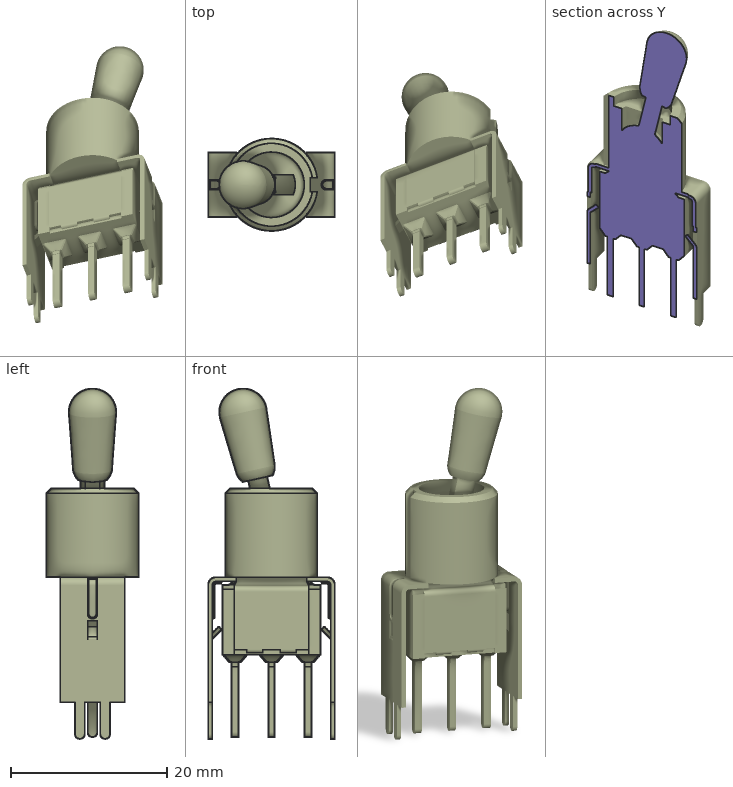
import cadquery as cq
import math

JOIN = 0.2

BUSHING_RADIUS = 5.93
BUSHING_HEIGHT = 11.34
BUSHING_CHAMFER = 0.62
BORE_RADIUS = 8.4 / 2
BORE_DEPTH = 1.4
KEYWAY_WIDTH = 1.8
KEYWAY_FLOOR_X = 4.93
SLOT_WIDTH = 2.6
SLOT_END_RADIUS = 3.05
COLLAR_TOP_RADIUS = 4.95
COLLAR_BOTTOM_RADIUS = 5.5

LEVER_TILT = 12.5
HEAD_RADIUS = 3.06
HEAD_CENTRE_Z = 21.08
HEAD_TO_TAPER_END = 7.5
HEAD_TO_LEVER_END = 8.7
TAPER_END_RADIUS = 2.52
LEVER_END_RADIUS = 1.96
LEVER_END_BULGE = 0.1
HEAD_OFFSET_X = 3.65
STEM_RADIUS = 1.56
STEM_FLAT_HALF = 1.25
PIVOT_BALL_RADIUS = 3.6

BRACKET_LENGTH = 16.26
BRACKET_WIDTH = 8.3
SHEET = 0.56
BEND_RADIUS = 1.05
LEG_BOTTOM_Z = -16.05
LEG_PIN_TIP_Z = -20.74
LEG_PIN_PITCH = 3.24
PIN_WIDTH = 1.27
NOTCH_HALF_LENGTH = 4.51

BEAD_DEPTH = 0.28
BEAD_WIDTH = 1.28
BEAD_CHAMFER = 0.14
BEAD_TOP_END_X = 6.38
BEAD_BOTTOM_END_Z = -5.33

WINDOW_TOP_Z = -5.63
WINDOW_BOTTOM_Z = -7.95
WINDOW_WIDTH = 1.28
TAB_TIP_X = 6.36
TAB_ANGLE = 45.0
TAB_BEND_SETBACK = 0.1

BODY_LENGTH = 12.6
BODY_WIDTH = 6.64
BODY_TOP_Z = -1.02
BODY_BOTTOM_Z = -9.97
SHOULDER_Z = -1.56
SHOULDER_DEPTH = 0.3
RECESS_DEPTH = 0.3

PANEL_HALF_LENGTH = 4.78
PANEL_FACE_Y = 3.4
PANEL_BEND_TOP_Z = -1.1
PANEL_BEND_BOTTOM_Z = -1.86
PANEL_BOTTOM_Z = -9.3
CRIMP_OFFSET_X = 2.15
CRIMP_WIDTH = 2.1

TERMINAL_PITCH = 4.67
TERMINAL_TIP_Z = -20.5
OUTER_TERMINAL_THICKNESS = 0.92
MIDDLE_TERMINAL_THICKNESS = 0.8
TERMINAL_SHOULDER_Z = -11.47
TERMINAL_SHOULDER_WIDTH = 1.4
SEAL_BASE = 3.1
SEAL_TIP = 1.5
SEAL_BOTTOM_Z = -10.9
SEAL_EDGE_CHAMFER = 0.12

leg_x = BRACKET_LENGTH / 2
floor_z = BUSHING_HEIGHT - BORE_DEPTH
pivot_z = HEAD_CENTRE_Z - HEAD_OFFSET_X / math.tan(math.radians(LEVER_TILT))
pivot_to_head = HEAD_OFFSET_X / math.sin(math.radians(LEVER_TILT))

concave_radius = -SHEET - PANEL_BEND_TOP_Z
convex_radius = PANEL_BEND_TOP_Z - PANEL_BEND_BOTTOM_Z
notch_back_y = PANEL_FACE_Y - convex_radius - concave_radius
recess_y = BODY_WIDTH / 2 - RECESS_DEPTH


def block(x0, x1, y0, y1, z0, z1):
    """Axis-aligned box between two corners."""
    return cq.Workplane("XY").box(x1 - x0, y1 - y0, z1 - z0, centered=False).translate((x0, y0, z0))


def rounded_pin(x_centre, y_centre, thickness, top_z, tip_z):
    """Flat pin whose width lies along Y and whose tip is a half circle."""
    radius = PIN_WIDTH / 2
    outline = (
        cq.Workplane("YZ")
        .moveTo(y_centre - radius, top_z)
        .lineTo(y_centre - radius, tip_z + radius)
        .threePointArc((y_centre, tip_z), (y_centre + radius, tip_z + radius))
        .lineTo(y_centre + radius, top_z)
        .close()
    )
    return outline.extrude(thickness / 2, both=True).translate((x_centre, 0, 0))


def make_bushing():
    """Chamfered barrel with a top bore, a lever slot and a full-height keyway."""
    barrel = cq.Workplane("XY").circle(BUSHING_RADIUS).extrude(BUSHING_HEIGHT)
    barrel = barrel.faces(">Z").chamfer(BUSHING_CHAMFER)
    bore = cq.Workplane("XY").workplane(offset=floor_z).circle(BORE_RADIUS).extrude(BORE_DEPTH)
    slot = cq.Workplane("XY").workplane(offset=pivot_z).circle(SLOT_END_RADIUS).extrude(floor_z - pivot_z)
    slot = slot.intersect(
        block(-SLOT_END_RADIUS, SLOT_END_RADIUS, -SLOT_WIDTH / 2, SLOT_WIDTH / 2, pivot_z, floor_z)
    )
    keyway = block(KEYWAY_FLOOR_X, BUSHING_RADIUS, -KEYWAY_WIDTH / 2, KEYWAY_WIDTH / 2, 0, BUSHING_HEIGHT)
    return barrel.cut(bore).cut(slot).cut(keyway)


def make_lever():
    """Tapered handle with a round head, on a flatted stem with a pivot ball."""
    taper_end = pivot_to_head - HEAD_TO_TAPER_END
    lever_end = pivot_to_head - HEAD_TO_LEVER_END
    arc_middle = HEAD_RADIUS / math.sqrt(2)
    handle = (
        cq.Workplane("XZ")
        .moveTo(0, lever_end)
        .lineTo(LEVER_END_RADIUS, lever_end)
        .sagittaArc((TAPER_END_RADIUS, taper_end), -LEVER_END_BULGE)
        .lineTo(HEAD_RADIUS, pivot_to_head)
        .threePointArc((arc_middle, pivot_to_head + arc_middle), (0, pivot_to_head + HEAD_RADIUS))
        .close()
        .revolve(360, (0, 0, 0), (0, 1, 0))
    )
    stem_top = lever_end + JOIN
    stem = cq.Workplane("XY").circle(STEM_RADIUS).extrude(stem_top)
    stem = stem.intersect(
        block(-STEM_FLAT_HALF, STEM_FLAT_HALF, -STEM_RADIUS, STEM_RADIUS, 0, stem_top)
    )
    ball = cq.Workplane("XY").sphere(PIVOT_BALL_RADIUS)
    lever = handle.union(stem).union(ball)
    return lever.rotate((0, 0, 0), (0, 1, 0), -LEVER_TILT).translate((0, 0, pivot_z))


def bracket_envelope(inset, width):
    """Solid prism under the bracket's outer skin, drawn in by `inset` from the top and sides."""
    half = leg_x - inset
    return (
        block(-half, half, -width / 2, width / 2, LEG_BOTTOM_Z, -inset)
        .edges("|Y and >Z")
        .fillet(BEND_RADIUS - inset)
    )


def bracket_layer(outer_inset, inner_inset, width):
    """Bent layer between two insets from the bracket's outer skin."""
    return bracket_envelope(outer_inset, width).cut(bracket_envelope(inner_inset, width))


def bead_region(side):
    """Round-ended strip over the bend at the given X side: down the leg and a little along the top."""
    radius = BEAD_WIDTH / 2
    bend_inner_x = leg_x - BEND_RADIUS
    leg_strip = (
        cq.Workplane("YZ")
        .moveTo(-radius, 0)
        .lineTo(-radius, BEAD_BOTTOM_END_Z + radius)
        .threePointArc((0, BEAD_BOTTOM_END_Z), (radius, BEAD_BOTTOM_END_Z + radius))
        .lineTo(radius, 0)
        .close()
        .extrude(side * BEND_RADIUS)
        .translate((side * bend_inner_x, 0, 0))
    )
    top_strip = (
        cq.Workplane("XY")
        .moveTo(side * leg_x, -radius)
        .lineTo(side * (BEAD_TOP_END_X + radius), -radius)
        .threePointArc((side * BEAD_TOP_END_X, 0), (side * (BEAD_TOP_END_X + radius), radius))
        .lineTo(side * leg_x, radius)
        .close()
        .extrude(-BEND_RADIUS)
    )
    return leg_strip.union(top_strip)


def bead_layer(side, outer_inset):
    """Bead-shaped layer, one bead deep, with its inward outline chamfered."""
    inner_inset = outer_inset + BEAD_DEPTH
    layer = bracket_layer(outer_inset, inner_inset, BRACKET_WIDTH).intersect(bead_region(side))
    inner_solid = bracket_envelope(inner_inset - BEAD_DEPTH / 10, BRACKET_WIDTH).val()
    outline = layer.edges("not |Y").filter(lambda edge: inner_solid.isInside(edge.positionAt(0.5)))
    return outline.chamfer(BEAD_CHAMFER)


def latch_tab():
    """Sheet tab on the -X leg, rising inward from the bottom of its window."""
    angle = math.radians(TAB_ANGLE)
    inner_x = -leg_x + SHEET
    root_z = WINDOW_BOTTOM_Z
    tip_z = root_z + (-TAB_TIP_X - inner_x) * math.tan(angle)
    corner_x = -TAB_TIP_X - SHEET * math.sin(angle)
    corner_z = tip_z + SHEET * math.cos(angle)
    bend_x = -leg_x + TAB_BEND_SETBACK
    bend_z = corner_z - (corner_x - bend_x) * math.tan(angle)
    profile = [
        (-leg_x, root_z),
        (inner_x, root_z),
        (-TAB_TIP_X, tip_z),
        (corner_x, corner_z),
        (bend_x, bend_z),
    ]
    return cq.Workplane("XZ").polyline(profile).close().extrude(WINDOW_WIDTH / 2, both=True)


def make_bracket():
    """Bent sheet bracket with beads, latch tabs, notched edges and four solder pins."""
    bracket = bracket_layer(0, SHEET, BRACKET_WIDTH)
    for side in (-1, 1):
        notch_y = side * (BRACKET_WIDTH + 2 * notch_back_y) / 4
        notch_depth = BRACKET_WIDTH / 2 - notch_back_y
        notch = cq.Workplane("XY").box(2 * NOTCH_HALF_LENGTH, notch_depth, 2 * SHEET)
        bracket = bracket.cut(notch.translate((0, notch_y, -SHEET)))
    for side in (-1, 1):
        bracket = bracket.union(bead_layer(side, SHEET)).cut(bead_layer(side, 0))
    window = block(-leg_x, leg_x, -WINDOW_WIDTH / 2, WINDOW_WIDTH / 2, WINDOW_BOTTOM_Z, WINDOW_TOP_Z)
    bracket = bracket.cut(window)
    tab = latch_tab()
    bracket = bracket.union(tab).union(tab.mirror("YZ"))
    pin_x = leg_x - SHEET / 2
    for x_side in (-1, 1):
        for y_side in (-1, 1):
            pin = rounded_pin(x_side * pin_x, y_side * LEG_PIN_PITCH / 2, SHEET, LEG_BOTTOM_Z, LEG_PIN_TIP_Z)
            bracket = bracket.union(pin)
    return bracket


def make_panel():
    """Frame panel on the -Y face: S-shaped top, flat face and two crimped tabs below."""
    diagonal = math.sqrt(0.5)
    ledge_y = -notch_back_y - concave_radius
    panel = (
        cq.Workplane("YZ")
        .moveTo(0, 0)
        .lineTo(-notch_back_y, 0)
        .lineTo(-notch_back_y, -SHEET)
        .threePointArc(
            (ledge_y + concave_radius * diagonal, PANEL_BEND_TOP_Z + concave_radius * (1 - diagonal)),
            (ledge_y, PANEL_BEND_TOP_Z),
        )
        .threePointArc(
            (ledge_y - convex_radius * diagonal, PANEL_BEND_BOTTOM_Z + convex_radius * diagonal),
            (-PANEL_FACE_Y, PANEL_BEND_BOTTOM_Z),
        )
        .lineTo(-PANEL_FACE_Y, PANEL_BOTTOM_Z)
        .lineTo(0, PANEL_BOTTOM_Z)
        .close()
        .extrude(PANEL_HALF_LENGTH, both=True)
    )
    for side in (-1, 1):
        corner = (
            cq.Workplane("XZ")
            .moveTo(side * NOTCH_HALF_LENGTH, 0)
            .lineTo(side * NOTCH_HALF_LENGTH, -SHEET)
            .lineTo(side * PANEL_HALF_LENGTH, PANEL_BEND_TOP_Z)
            .lineTo(side * PANEL_HALF_LENGTH, 0)
            .close()
            .extrude(PANEL_FACE_Y)
        )
        panel = panel.cut(corner)
    crimp_radius = PANEL_FACE_Y - recess_y
    for side in (-1, 1):
        crimp = (
            cq.Workplane("YZ")
            .center(-recess_y, PANEL_BOTTOM_Z)
            .circle(crimp_radius)
            .extrude(CRIMP_WIDTH / 2, both=True)
            .translate((side * CRIMP_OFFSET_X, 0, 0))
        )
        panel = panel.union(crimp)
    return panel


def make_body():
    """Moulded body with a stepped top, recessed faces, panel seats, collar and frame panels."""
    half_length = BODY_LENGTH / 2
    half_width = BODY_WIDTH / 2
    top_half_width = half_width - SHOULDER_DEPTH
    body = block(-half_length, half_length, -half_width, half_width, BODY_BOTTOM_Z, SHOULDER_Z)
    body = body.union(
        block(-half_length, half_length, -top_half_width, top_half_width, SHOULDER_Z, BODY_TOP_Z)
    )
    for side in (-1, 1):
        recess_height = PANEL_BOTTOM_Z - BODY_BOTTOM_Z
        recess = cq.Workplane("XY").box(2 * PANEL_HALF_LENGTH, RECESS_DEPTH, recess_height)
        recess_z = (PANEL_BOTTOM_Z + BODY_BOTTOM_Z) / 2
        body = body.cut(recess.translate((0, side * (recess_y + half_width) / 2, recess_z)))
        seat_depth = half_width - notch_back_y
        seat = cq.Workplane("XY").box(2 * PANEL_HALF_LENGTH, seat_depth, BODY_TOP_Z - PANEL_BEND_BOTTOM_Z)
        seat_z = (BODY_TOP_Z + PANEL_BEND_BOTTOM_Z) / 2
        body = body.cut(seat.translate((0, side * (notch_back_y + half_width) / 2, seat_z)))
    collar = (
        cq.Workplane("XY")
        .workplane(offset=BODY_TOP_Z)
        .circle(COLLAR_BOTTOM_RADIUS)
        .workplane(offset=-SHEET - BODY_TOP_Z)
        .circle(COLLAR_TOP_RADIUS)
        .loft()
    )
    collar = collar.intersect(
        block(-half_length, half_length, -notch_back_y, notch_back_y, BODY_TOP_Z, 0)
    )
    panel = make_panel()
    return body.union(collar).union(panel).union(panel.mirror("XZ"))


def make_terminal(x_centre, thickness):
    """Shouldered terminal leaving the body through a tapered sealing boss."""
    seal = (
        cq.Workplane("XY")
        .workplane(offset=BODY_BOTTOM_Z)
        .rect(SEAL_BASE, SEAL_BASE)
        .workplane(offset=SEAL_BOTTOM_Z - BODY_BOTTOM_Z)
        .rect(SEAL_TIP, SEAL_TIP)
        .loft()
        .edges("not(|X or |Y)")
        .chamfer(SEAL_EDGE_CHAMFER)
        .translate((x_centre, 0, 0))
    )
    pin = rounded_pin(x_centre, 0, thickness, SEAL_BOTTOM_Z, TERMINAL_TIP_Z)
    shoulder = block(
        x_centre - thickness / 2,
        x_centre + thickness / 2,
        -TERMINAL_SHOULDER_WIDTH / 2,
        TERMINAL_SHOULDER_WIDTH / 2,
        TERMINAL_SHOULDER_Z,
        SEAL_BOTTOM_Z + JOIN,
    )
    return seal.union(pin).union(shoulder)


result = make_bushing().union(make_bracket()).union(make_body()).union(make_lever())
for position in (-1, 0, 1):
    terminal_thickness = OUTER_TERMINAL_THICKNESS if position else MIDDLE_TERMINAL_THICKNESS
    result = result.union(make_terminal(position * TERMINAL_PITCH, terminal_thickness))